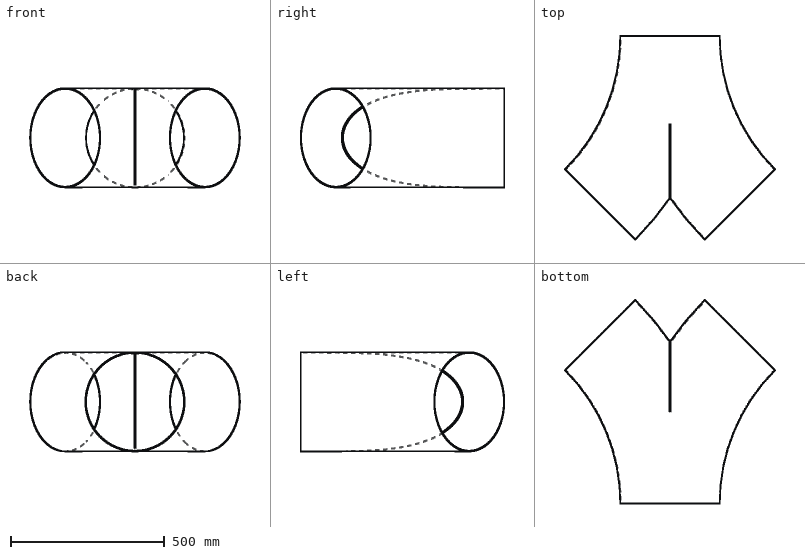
import cadquery as cq
import math

overall_width = 683.0
pipe_diameter = 324.0
wall = 3.0
bend_angle = 45.0
strip_width = 4.0

pipe_radius = pipe_diameter / 2
bore_radius = pipe_radius - wall
bend = math.radians(bend_angle)

outlet_x = overall_width / 2 - pipe_radius * math.cos(bend)
bend_radius = outlet_x / (1 - math.cos(bend))


def elbow_tube():
    """Thin-walled bend from the inlet at y = 0 toward -Y, turning to +X."""
    return (
        cq.Workplane("XZ")
        .circle(pipe_radius)
        .circle(bore_radius)
        .revolve(bend_angle, (bend_radius, 0, 0), (bend_radius, 1, 0))
    )


def trim_at_seam(tube):
    """Keep only the part of the tube beyond the +X edge of the weld strip."""
    keep_size = 2 * overall_width
    keep = (
        cq.Workplane("YZ", origin=(strip_width / 2, 0, 0))
        .rect(keep_size, keep_size)
        .extrude(keep_size)
    )
    return tube.intersect(keep)


def weld_strip(half):
    """Carry the trimmed edge of the wall straight across the seam to the other half."""
    seam_face = half.faces("<X").val()
    return cq.Workplane(cq.Solid.extrudeLinear(seam_face, cq.Vector(-strip_width, 0, 0)))


right_half = trim_at_seam(elbow_tube())
left_half = right_half.mirror("YZ")
result = right_half.union(weld_strip(right_half)).union(left_half)